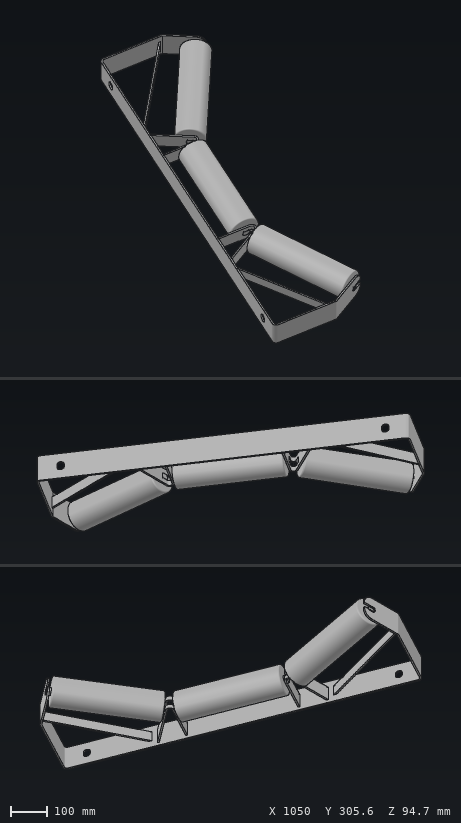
import cadquery as cq
import math


frame_length = 1050.0
bar_width = 80.0
bar_thickness = 5.0
corner_radius = 13.0
upright_height = 193.0
arm_length = 122.0
arm_bend_radius = 6.0
arm_tip_radius = 27.0
trough_angle = 30.0
mount_hole_spacing = 914.0
mount_hole_width = 20.0
mount_hole_height = 25.0

roller_diameter = 89.0
roller_length = 313.0
roller_edge_radius = 4.0
shaft_diameter = 22.0
shaft_length = 334.0
shaft_flat_width = 16.0
shaft_seat = 95.0
shaft_setback = 3.0
center_roller_y = 99.0
inner_axis_z = -6.0
outer_axis_z = 0.0

bracket_bend_radius = 7.0
bracket_width = 46.0
brace_width = 34.0
brace_top_y = 187.0
brace_foot_x = 266.0

half_length = frame_length / 2
half_shaft = shaft_length / 2
sin_trough = math.sin(math.radians(trough_angle))
cos_trough = math.cos(math.radians(trough_angle))

arm_to_center = half_shaft + shaft_setback
side_roller_x = half_length - shaft_seat * sin_trough - arm_to_center * cos_trough
side_roller_y = upright_height + shaft_seat * cos_trough - arm_to_center * sin_trough
side_roller_z = (inner_axis_z + outer_axis_z) / 2
side_tilt = math.degrees(math.asin((outer_axis_z - inner_axis_z) / shaft_length))


def mirrored(body):
    """The same body on the -X side."""
    return body.mirror("YZ")


def place_on_side(body):
    """Move a body from the roller's own axis (along X) to the right side roller."""
    tilted = body.rotate((0, 0, 0), (0, 1, 0), -side_tilt)
    raised = tilted.rotate((0, 0, 0), (0, 0, 1), trough_angle)
    return raised.translate((side_roller_x, side_roller_y, side_roller_z))


def place_in_center(body):
    """Move a body from the roller's own axis to the level roller."""
    return body.translate((0, center_roller_y, inner_axis_z))


def make_shaft(length):
    """Round shaft along X with two flats facing +Z and -Z."""
    round_bar = cq.Workplane("YZ").circle(shaft_diameter / 2).extrude(length).translate((-length / 2, 0, 0))
    flats = cq.Workplane("XY").box(length, shaft_diameter, shaft_flat_width)
    return round_bar.intersect(flats)


def make_roller():
    """Roller shell and its shaft as one solid, centered on the origin along X."""
    shell = cq.Workplane("YZ").circle(roller_diameter / 2).extrude(roller_length)
    shell = shell.translate((-roller_length / 2, 0, 0))
    shell = shell.edges("%CIRCLE").fillet(roller_edge_radius)
    return shell.union(make_shaft(shaft_length))


def make_seat_cutter():
    """Shaft-shaped seat that stays open toward the roller's +Y side."""
    reach = roller_diameter
    length = shaft_length + 2 * bar_thickness
    mouth = cq.Workplane("XY").box(length, reach, shaft_flat_width).translate((0, reach / 2, 0))
    return make_shaft(length).union(mouth)


def make_arm():
    """Right arm with a rounded tip, leaning inward from the top of the upright."""
    arm = cq.Workplane("XY").box(bar_thickness, arm_length, bar_width)
    arm = arm.edges("|X and >Y").fillet(arm_tip_radius)
    arm = arm.translate((-bar_thickness / 2, arm_length / 2, 0))
    leaning = arm.rotate((0, 0, 0), (0, 0, 1), trough_angle)
    return leaning.translate((half_length, upright_height, 0))


def make_frame(seat_cutter):
    """Base bar, uprights and arms bent from one flat bar."""
    inner_length = frame_length - 2 * bar_thickness
    channel = cq.Workplane("XY").box(frame_length, upright_height, bar_width)
    channel = channel.edges("|Z and <Y").fillet(corner_radius)
    opening = cq.Workplane("XY").box(inner_length, upright_height, bar_width)
    opening = opening.edges("|Z and <Y").fillet(corner_radius - bar_thickness)
    channel = channel.cut(opening.translate((0, bar_thickness, 0)))
    channel = channel.translate((0, upright_height / 2, 0))

    mount_holes = (
        cq.Workplane("XZ")
        .pushPoints([(-mount_hole_spacing / 2, 0), (mount_hole_spacing / 2, 0)])
        .slot2D(mount_hole_height, mount_hole_width, 90)
        .extrude(-bar_thickness)
    )
    arm = make_arm().cut(place_on_side(seat_cutter))
    blank = channel.union(arm).union(mirrored(arm))
    outer_bends = [(-half_length, upright_height, 0), (half_length, upright_height, 0)]
    for bend in outer_bends:
        blank = blank.edges(cq.NearestToPointSelector(bend)).fillet(arm_bend_radius)
    return blank.cut(mount_holes)


def make_wedge(offset):
    """Wedge between the bracket legs' inner faces, grown outward by an offset, with a rounded top."""
    upright_x = half_shaft - offset
    lean_x = side_roller_x - (half_shaft - offset) * cos_trough
    lean_y = side_roller_y - (half_shaft - offset) * sin_trough
    lean_slope = cos_trough / sin_trough
    apex_y = lean_y + (lean_x - upright_x) * lean_slope
    foot_x = lean_x + (lean_y - bar_thickness) / lean_slope
    wedge = (
        cq.Workplane("XY")
        .polyline([(upright_x, bar_thickness), (upright_x, apex_y), (foot_x, bar_thickness)])
        .close()
        .extrude(bracket_width)
        .translate((0, 0, inner_axis_z - bracket_width / 2))
    )
    return wedge.edges("|Z and >Y").fillet(bracket_bend_radius + offset)


def make_bracket(seat_cutter):
    """Right bracket: one strip bent over into an upright leg and a leg parallel to the arm."""
    strip = make_wedge(bar_thickness).cut(make_wedge(0))
    return strip.cut(place_in_center(seat_cutter)).cut(place_on_side(seat_cutter))


def make_brace():
    """Right diagonal brace between the base and the upright, its ends cut flush."""
    upper_foot = (brace_foot_x, bar_thickness)
    upper_head = (half_length - bar_thickness, brace_top_y)
    angle = math.atan2(upper_head[1] - upper_foot[1], upper_head[0] - upper_foot[0])
    lower_head = (upper_head[0], upper_head[1] - bar_thickness / math.cos(angle))
    lower_foot = (upper_foot[0] + bar_thickness / math.sin(angle), upper_foot[1])
    outline = cq.Workplane("XY").polyline([upper_foot, upper_head, lower_head, lower_foot]).close()
    return outline.extrude(brace_width).translate((0, 0, -brace_width / 2))


seat_cutter = make_seat_cutter()
frame = make_frame(seat_cutter)

bracket = make_bracket(seat_cutter)
brackets = [bracket, mirrored(bracket)]

brace = make_brace()
braces = [brace, mirrored(brace)]

side_roller = place_on_side(make_roller())
rollers = [place_in_center(make_roller()), side_roller, mirrored(side_roller)]

bodies = [frame] + brackets + braces + rollers
result = cq.Compound.makeCompound([body.val() for body in bodies])